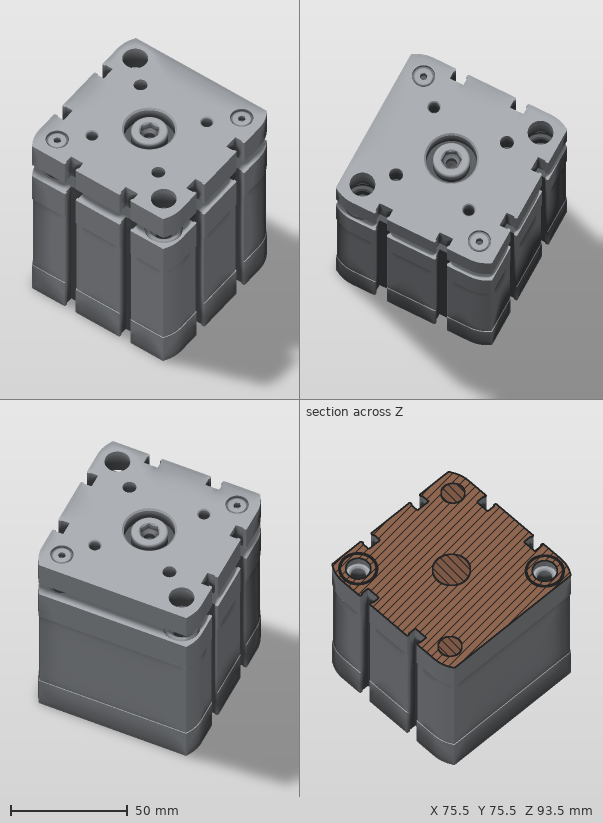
import cadquery as cq
import math

side = 75.5
total_height = 93.5
half_side = side / 2

plate_thickness = 12.3
housing_height = 73.9
cap_height = 15.15
profile_inset = 0.4
plate_bottom = total_height - plate_thickness
upper_cap_bottom = housing_height - cap_height

corner_radius = 16.0
corner_start = 28.3
corner_edge = 0.8
corner_flat_end = 34.5
corner_edge_radius = 1.0

slot_position = 14.5
slot_width = 6.5
slot_throat = 5.5
slot_depth = 5.2
slot_lip = 1.5
slot_mouth_radius = 0.5

corner_pitch = 28.2

hexagon_sides = 6

rod_diameter = 10.0
rod_head_diameter = 8.5
rod_head_drop = 0.6
rod_head_chamfer = 0.5
rod_recess_depth = 1.5
rod_entry_diameter = 11.0
rod_entry_rim_diameter = 12.0
rod_socket_diameter = 3.5
rod_socket_depth = 2.8
rod_socket_turn = 15.0

piston_diameter = 16.0
piston_end_drop = 1.0
piston_end_fillet = 1.0
wrench_width = 12.9
wrench_bottom = 75.0
wrench_slope_drop = 0.8
piston_socket_flats = 7.8
piston_socket_depth = 3.5
piston_socket_entry_diameter = 9.3
piston_drill_diameter = 5.0
piston_drill_depth = 7.5
drill_point_angle = 118.0

recess_diameter = 22.0
recess_rim_diameter = 23.6
recess_depth = 7.0

access_diameter = 11.0
small_hole_pitch = 17.6
pin_hole_diameter = 6.0
thread_diameter = 5.0

mount_groove_diameter = 16.4
mount_collar_diameter = 15.5
mount_groove_depth = 2.0
mount_collar_chamfer = 0.6
mount_bore_diameter = 10.6
mount_bore_rim_diameter = 12.0
mount_bore_depth = 5.0
mount_thread_rim_diameter = 8.0
mount_hole_diameter = 6.6

AXIS = [(0, 0)]
RISING_DIAGONAL = [(1, 1), (-1, -1)]
FALLING_DIAGONAL = [(-1, 1), (1, -1)]


def on_diagonal(diagonal, pitch):
    """Two opposite points at the pitch from the axis in both X and Y."""
    return [(pitch * x, pitch * y) for x, y in diagonal]


def cylinders(points, diameter, bottom, top):
    """Upright cylinders centred on the points."""
    plane = cq.Workplane("XY", origin=(0, 0, bottom))
    return plane.pushPoints(points).circle(diameter / 2).extrude(top - bottom)


def cones(points, bottom_diameter, top_diameter, bottom, top):
    """Upright cones or frustums centred on the points."""
    profile = [(0, bottom), (bottom_diameter / 2, bottom), (top_diameter / 2, top), (0, top)]
    if bottom_diameter == 0:
        profile.pop(0)
    cone = cq.Workplane("XZ").polyline(profile).close().revolve(360, (0, 0), (0, 1))
    shapes = cq.Workplane("XY")
    for x, y in points:
        shapes = shapes.union(cone.translate((x, y, 0)))
    return shapes


def chamfer_cut(points, hole_diameter, rim_diameter, top):
    """45 degree rim chamfers that widen holes towards their top."""
    return cones(points, hole_diameter, rim_diameter, top - (rim_diameter - hole_diameter) / 2, top)


def block(bottom, top, inset=0.0):
    """Square block whose +X and -X sides curve in towards the corners."""
    edge = half_side - inset
    radius = corner_radius - inset
    centre_x = half_side - corner_radius
    arc_end_y = half_side - corner_edge
    arc_end_angle = math.asin((arc_end_y - corner_start) / radius)
    arc_end_x = centre_x + radius * math.cos(arc_end_angle)
    arc_mid_x = centre_x + radius * math.cos(arc_end_angle / 2)
    arc_mid_y = corner_start + radius * math.sin(arc_end_angle / 2)
    return (
        cq.Workplane("XY", origin=(0, 0, bottom))
        .moveTo(edge, -corner_start)
        .lineTo(edge, corner_start)
        .threePointArc((arc_mid_x, arc_mid_y), (arc_end_x, arc_end_y))
        .radiusArc((corner_flat_end, edge), -corner_edge_radius)
        .lineTo(-corner_flat_end, edge)
        .radiusArc((-arc_end_x, arc_end_y), -corner_edge_radius)
        .threePointArc((-arc_mid_x, arc_mid_y), (-edge, corner_start))
        .lineTo(-edge, -corner_start)
        .threePointArc((-arc_mid_x, -arc_mid_y), (-arc_end_x, -arc_end_y))
        .radiusArc((-corner_flat_end, -edge), -corner_edge_radius)
        .lineTo(corner_flat_end, -edge)
        .radiusArc((arc_end_x, -arc_end_y), -corner_edge_radius)
        .threePointArc((arc_mid_x, -arc_mid_y), (edge, -corner_start))
        .close()
        .extrude(top - bottom)
    )


def slots(bottom, top, inset=0.0):
    """Pairs of undercut slots with rounded mouths on the -Y, +X and -X sides."""
    edge = half_side - inset
    mouth = slot_throat / 2 + slot_mouth_radius
    bend = slot_mouth_radius * (1 - math.sqrt(0.5))
    floor = slot_depth - half_side
    lip = slot_lip - half_side
    slot = (
        cq.Workplane("XY", origin=(0, 0, bottom))
        .moveTo(-mouth, -edge)
        .threePointArc((-slot_throat / 2 - bend, bend - edge), (-slot_throat / 2, slot_mouth_radius - edge))
        .lineTo(-slot_throat / 2, lip)
        .lineTo(-slot_width / 2, lip)
        .lineTo(-slot_width / 2, floor)
        .lineTo(slot_width / 2, floor)
        .lineTo(slot_width / 2, lip)
        .lineTo(slot_throat / 2, lip)
        .lineTo(slot_throat / 2, slot_mouth_radius - edge)
        .threePointArc((slot_throat / 2 + bend, bend - edge), (mouth, -edge))
        .close()
        .extrude(top - bottom)
    )
    pair = slot.translate((-slot_position, 0, 0)).union(slot.translate((slot_position, 0, 0)))
    slot_pairs = pair
    for angle in (90, -90):
        slot_pairs = slot_pairs.union(pair.rotate((0, 0, 0), (0, 0, 1), angle))
    return slot_pairs


def slotted_block(bottom, top, inset=0.0):
    """Block with its sensor slots."""
    return block(bottom, top, inset).cut(slots(bottom, top, inset))


def mount_grooves(points):
    """Ring grooves around the chamfered collars of the mounting holes."""
    groove_floor = housing_height - mount_groove_depth
    collars = cylinders(points, mount_collar_diameter, groove_floor, housing_height)
    collars = collars.faces(">Z").chamfer(mount_collar_chamfer)
    return cylinders(points, mount_groove_diameter, groove_floor, housing_height).cut(collars)


def make_housing():
    """Housing with slots, rod bores and mounting holes."""
    rod_points = on_diagonal(RISING_DIAGONAL, corner_pitch)
    mount_points = on_diagonal(FALLING_DIAGONAL, corner_pitch)

    housing = slotted_block(0, cap_height)
    housing = housing.union(slotted_block(cap_height, upper_cap_bottom, profile_inset))
    housing = housing.union(slotted_block(upper_cap_bottom, housing_height))

    housing = housing.cut(cylinders(rod_points, rod_diameter, upper_cap_bottom, housing_height))
    housing = housing.cut(chamfer_cut(rod_points, rod_entry_diameter, rod_entry_rim_diameter, housing_height))

    housing = housing.cut(cylinders(AXIS, piston_diameter, upper_cap_bottom, housing_height))

    bore_floor = housing_height - mount_bore_depth
    housing = housing.cut(mount_grooves(mount_points))
    housing = housing.cut(cylinders(mount_points, mount_hole_diameter, 0, housing_height))
    housing = housing.cut(cylinders(mount_points, mount_bore_diameter, bore_floor, housing_height))
    housing = housing.cut(chamfer_cut(mount_points, mount_hole_diameter, mount_thread_rim_diameter, bore_floor))
    return housing.cut(chamfer_cut(mount_points, mount_bore_diameter, mount_bore_rim_diameter, housing_height))


def guide_rods():
    """Guide rods with a chamfered, narrower head that holds a hexagon socket."""
    points = on_diagonal(RISING_DIAGONAL, corner_pitch)
    shoulder = total_height - rod_recess_depth
    top = total_height - rod_head_drop
    heads = cylinders(points, rod_head_diameter, shoulder, top).faces(">Z").chamfer(rod_head_chamfer)
    rods = cylinders(points, rod_diameter, upper_cap_bottom, shoulder).union(heads)
    socket = (
        cq.Workplane("XY")
        .polygon(hexagon_sides, rod_socket_diameter)
        .extrude(-rod_socket_depth)
        .rotate((0, 0, 0), (0, 0, 1), rod_socket_turn)
    )
    for x, y in points:
        rods = rods.cut(socket.translate((x, y, top)))
    return rods


def wrench_flat_cut():
    """Material beside a flat on the -Y side of the piston rod, above a sloping run-out."""
    flat = -wrench_width / 2
    surface = -piston_diameter / 2
    return (
        cq.Workplane("YZ")
        .polyline(
            [
                (flat, plate_bottom),
                (flat, wrench_bottom),
                (surface, wrench_bottom - wrench_slope_drop),
                (surface, plate_bottom),
            ]
        )
        .close()
        .extrude(piston_diameter / 2, both=True)
    )


def piston_rod():
    """Piston rod with wrench flats and a drilled hexagon socket in its rounded end."""
    top = total_height - piston_end_drop
    rod = cylinders(AXIS, piston_diameter, upper_cap_bottom, top).faces(">Z").fillet(piston_end_fillet)
    flat_cut = wrench_flat_cut()
    rod = rod.cut(flat_cut).cut(flat_cut.mirror("XZ"))

    point_slope = math.tan(math.radians(drill_point_angle / 2))
    socket_corners = piston_socket_flats / math.cos(math.pi / hexagon_sides)
    socket_floor = top - piston_socket_depth
    socket_cone_tip = socket_floor - socket_corners / 2 / point_slope
    drill_floor = top - piston_drill_depth
    drill_tip = drill_floor - piston_drill_diameter / 2 / point_slope
    socket_plane = cq.Workplane("XY", origin=(0, 0, socket_floor))
    rod = rod.cut(socket_plane.polygon(hexagon_sides, socket_corners).extrude(piston_socket_depth))
    rod = rod.cut(chamfer_cut(AXIS, piston_socket_flats, piston_socket_entry_diameter, top))
    rod = rod.cut(cones(AXIS, 0, socket_corners, socket_cone_tip, socket_floor))
    rod = rod.cut(cylinders(AXIS, piston_drill_diameter, drill_floor, socket_floor))
    return rod.cut(cones(AXIS, 0, piston_drill_diameter, drill_tip, drill_floor))


def make_moving_plate():
    """Moving plate in one piece with its guide rods and piston rod."""
    rod_points = on_diagonal(RISING_DIAGONAL, corner_pitch)
    thread_points = on_diagonal(RISING_DIAGONAL, small_hole_pitch)
    plate = slotted_block(plate_bottom, total_height)

    plate = plate.cut(cylinders(AXIS, recess_diameter, total_height - recess_depth, total_height))
    plate = plate.cut(chamfer_cut(AXIS, recess_diameter, recess_rim_diameter, total_height))

    access_points = on_diagonal(FALLING_DIAGONAL, corner_pitch)
    plate = plate.cut(cylinders(access_points, access_diameter, plate_bottom, total_height))

    pin_points = on_diagonal(FALLING_DIAGONAL, small_hole_pitch)
    plate = plate.cut(cylinders(pin_points, pin_hole_diameter, plate_bottom, total_height))
    plate = plate.cut(cylinders(thread_points, thread_diameter, plate_bottom, total_height))
    plate = plate.cut(chamfer_cut(thread_points, thread_diameter, pin_hole_diameter, total_height))

    openings = cylinders(AXIS, piston_diameter, plate_bottom, total_height)
    openings = openings.union(cylinders(rod_points, rod_diameter, plate_bottom, total_height))
    return plate.cut(openings).union(guide_rods()).union(piston_rod())


housing = make_housing()
moving_plate = make_moving_plate()

result = cq.Compound.makeCompound([housing.val(), moving_plate.val()])